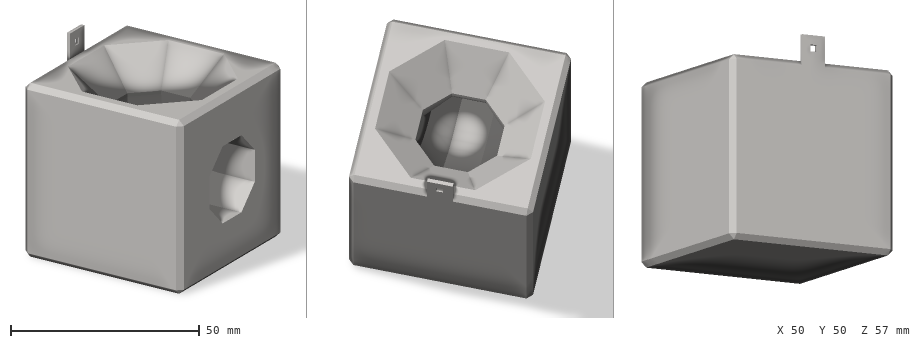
import cadquery as cq
import math

total_height = 57.0
cube_size = 50.0
edge_chamfer = 1.5

mouth_flats = 42.3
bore_flats = 22.2
funnel_depth = (mouth_flats - bore_flats) / 2
straight_length = 1.0
bend_radius = cube_size / 2 - funnel_depth - straight_length

tab_width = 7.0
tab_thickness = 1.0
tab_hole_size = 1.8
tab_hole_drop = 3.5

half_cube = cube_size / 2


def octagon(plane, flats):
    """Octagon with two sides square to each axis of the plane."""
    radius = flats / 2 / math.cos(math.pi / 8)
    corner_angles = [math.pi / 8 + k * math.pi / 4 for k in range(8)]
    corners = [(radius * math.cos(a), radius * math.sin(a)) for a in corner_angles]
    return cq.Workplane(plane).polyline(corners).close()


def inlet():
    """Top funnel with the short straight bore beneath it."""
    mouth_plane = cq.Plane(origin=(0, 0, cube_size), xDir=(1, 0, 0), normal=(0, 0, -1))
    taper = math.degrees(math.atan2((mouth_flats - bore_flats) / 2, funnel_depth))
    funnel = octagon(mouth_plane, mouth_flats).extrude(funnel_depth, taper=taper)
    bore = octagon(mouth_plane, bore_flats).extrude(funnel_depth + straight_length)
    return funnel.union(bore)


def elbow():
    """Quarter turn of the bore from the vertical to the +X direction."""
    start_plane = cq.Plane(
        origin=(0, 0, half_cube + bend_radius), xDir=(1, 0, 0), normal=(0, 0, 1)
    )
    return octagon(start_plane, bore_flats).revolve(90, (bend_radius, 0), (bend_radius, -1))


def outlet():
    """Straight bore from the end of the elbow out through the +X side."""
    start_plane = cq.Plane(
        origin=(bend_radius, 0, half_cube), xDir=(0, 1, 0), normal=(1, 0, 0)
    )
    return octagon(start_plane, bore_flats).extrude(half_cube - bend_radius)


def tab():
    """Thin upright plate with a square hole, rooted in the -X side."""
    root_height = cube_size - edge_chamfer
    plate_height = total_height - root_height
    plate = cq.Workplane("XY").box(
        tab_thickness, tab_width, plate_height, centered=(False, True, False)
    )
    hole = cq.Workplane("XY").box(3 * tab_thickness, tab_hole_size, tab_hole_size)
    hole = hole.translate((0, 0, plate_height - tab_hole_drop))
    return plate.cut(hole).translate((-half_cube, 0, root_height))


body = cq.Workplane("XY").box(cube_size, cube_size, cube_size).translate((0, 0, half_cube))
body = body.edges().chamfer(edge_chamfer)

passage = inlet().union(elbow()).union(outlet())

result = body.cut(passage).union(tab())